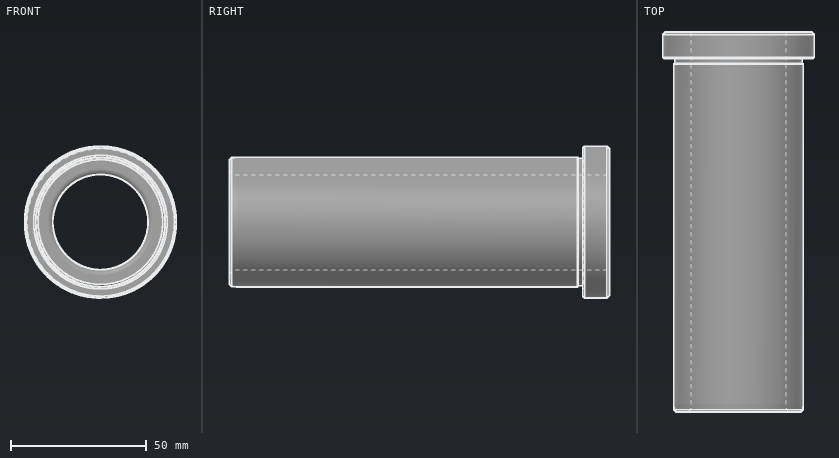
import cadquery as cq

length = 140.0
head_radius = 28.0
head_length = 10.0
body_radius = 24.0
bore_radius = 17.5

head_back_chamfer = 1.0
head_front_chamfer = 0.7
relief_width = 2.0
relief_depth = 0.4
undercut_radius = 24.6
undercut_depth = 0.4
lead_length = 3.0
lead_taper = 0.1
tip_chamfer = 0.8
bore_mouth_fillet = 2.1

tip_y = -length / 2
head_back_y = length / 2
head_front_y = head_back_y - head_length
relief_front_y = head_front_y - relief_width
lead_end_y = tip_y + lead_length
lead_radius = body_radius - lead_taper


def cylinder(radius, start_y, end_y):
    """Solid cylinder about the Y axis between two positions."""
    height = end_y - start_y
    return cq.Workplane("XZ", origin=(0, end_y, 0)).circle(radius).extrude(height)


def make_head():
    head = cylinder(head_radius, head_front_y, head_back_y)
    head = head.faces(">Y").edges().chamfer(head_back_chamfer)
    return head.faces("<Y").edges().chamfer(head_front_chamfer)


def make_body():
    """Straight shank with a slightly tapered, chamfered lead at the tip."""
    lead = (
        cq.Workplane("XY")
        .moveTo(0, tip_y)
        .lineTo(lead_radius - tip_chamfer, tip_y)
        .lineTo(lead_radius, tip_y + tip_chamfer)
        .lineTo(body_radius, lead_end_y)
        .lineTo(0, lead_end_y)
        .close()
        .revolve(360, (0, 0, 0), (0, 1, 0))
    )
    shank = cylinder(body_radius, lead_end_y, head_front_y)
    return lead.union(shank)


def make_relief():
    """Ring cut in the corner: into the shank, and into the head face with a sloping outer edge."""
    floor_radius = body_radius - relief_depth
    return (
        cq.Workplane("XY")
        .moveTo(body_radius, relief_front_y)
        .lineTo(floor_radius, relief_front_y + relief_depth)
        .lineTo(floor_radius, head_front_y + undercut_depth)
        .lineTo(body_radius, head_front_y + undercut_depth)
        .lineTo(undercut_radius, head_front_y)
        .lineTo(undercut_radius, relief_front_y)
        .close()
        .revolve(360, (0, 0, 0), (0, 1, 0))
    )


result = make_head().union(make_body()).cut(make_relief())
result = result.cut(cylinder(bore_radius, tip_y, head_back_y))
result = result.faces("<Y").edges(cq.selectors.RadiusNthSelector(0)).fillet(bore_mouth_fillet)